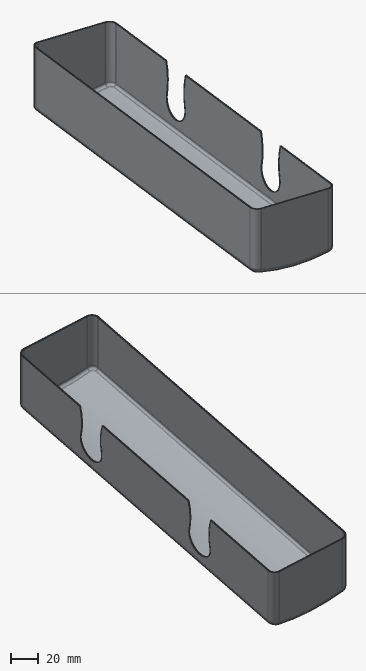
import cadquery as cq
import math

LENGTH = 299.6
WIDTH = 68.8
HEIGHT = 55.4

WALL = 0.8
CORNER_RADIUS = 6.0
FLOOR_BOW_RADIUS = 140.0
FLOOR_EDGE_RADIUS = 3.0

NOTCH_SPACING = 127.0
NOTCH_DEPTH = 42.0
NOTCH_SEAT_RADIUS = 12.5
NOTCH_WAIST_HALF_WIDTH = 11.0
NOTCH_SIDE_RADIUS = 55.0


def bowed_block(inset):
    """Solid bounded by the outer tray surface moved inward by inset, open upward."""
    half_width = WIDTH / 2 - inset
    bow_radius = FLOOR_BOW_RADIUS - inset
    bow_centre_z = FLOOR_BOW_RADIUS
    edge_z = bow_centre_z - math.sqrt(bow_radius**2 - half_width**2)
    block_length = LENGTH - 2 * inset
    return (
        cq.Workplane("YZ")
        .moveTo(-half_width, HEIGHT)
        .lineTo(-half_width, edge_z)
        .threePointArc((0, inset), (half_width, edge_z))
        .lineTo(half_width, HEIGHT)
        .close()
        .extrude(block_length / 2, both=True)
        .edges("|Z")
        .fillet(CORNER_RADIUS - inset)
        .faces("<Z")
        .edges()
        .fillet(FLOOR_EDGE_RADIUS - inset)
    )


def notch_cutter(centre_x):
    """Notch-shaped prism through the +Y wall, its sides tangent to the round seat."""
    seat_z = HEIGHT - NOTCH_DEPTH + NOTCH_SEAT_RADIUS
    side_x = NOTCH_WAIST_HALF_WIDTH + NOTCH_SIDE_RADIUS
    centre_distance = NOTCH_SEAT_RADIUS + NOTCH_SIDE_RADIUS
    waist_z = seat_z + math.sqrt(centre_distance**2 - side_x**2)
    tangent_x = side_x * NOTCH_SEAT_RADIUS / centre_distance
    tangent_z = seat_z + (waist_z - seat_z) * NOTCH_SEAT_RADIUS / centre_distance
    mouth_x = side_x - math.sqrt(NOTCH_SIDE_RADIUS**2 - (HEIGHT - waist_z) ** 2)
    return (
        cq.Workplane("XZ", origin=(centre_x, 0, 0))
        .moveTo(-mouth_x, HEIGHT)
        .threePointArc((-NOTCH_WAIST_HALF_WIDTH, waist_z), (-tangent_x, tangent_z))
        .threePointArc((0, HEIGHT - NOTCH_DEPTH), (tangent_x, tangent_z))
        .threePointArc((NOTCH_WAIST_HALF_WIDTH, waist_z), (mouth_x, HEIGHT))
        .close()
        .extrude(-WIDTH)
    )


tray = bowed_block(0).cut(bowed_block(WALL))
for side in (-1, 1):
    tray = tray.cut(notch_cutter(side * NOTCH_SPACING / 2))

result = tray